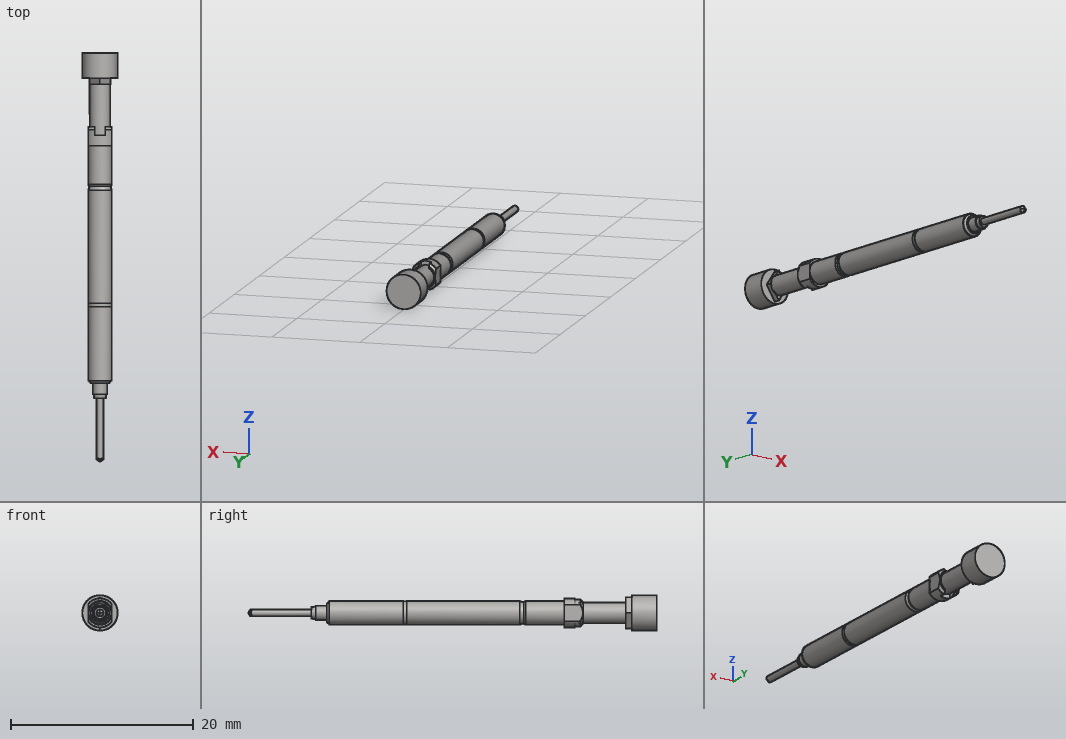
import cadquery as cq

overall_length = 44.8

head_radius = 1.95
head_end = 2.75

flange_half_height = 1.73
flange_half_width = 1.17
flange_end = 3.44

neck_radius = 1.15
neck_end = 8.1

barrel_radius = 1.31

collar_radius = 1.6
collar_chamfer = 0.3
collar_end = 10.17
collar_flat_half_width = barrel_radius
slot_width = 1.15
slot_end = 9.0

groove_start = 14.4
groove_bottom = 14.6
groove_end = 15.05
groove_radius = 1.2

band_start = 27.4
band_end = 27.8
band_radius = 1.29

barrel_end = 35.9
nose_end = 36.2
nose_start_radius = 1.24
nose_end_radius = 1.0

stem_radius = 0.8
stem_end = 37.4
stem_tip_start_radius = 0.71
stem_tip_end_radius = 0.65
stem_tip_end = 37.85

pin_radius = 0.39
tip_length = pin_radius
tip_sides = 4


def along_axis(station):
    """Y coordinate of a distance measured from the head end."""
    return overall_length / 2 - station


def cross_section(station):
    """Workplane across the axis, extruding towards the pin tip (-Y)."""
    return cq.Workplane("XZ", origin=(0, along_axis(station), 0))


def cylinder(start, end, radius):
    return cross_section(start).circle(radius).extrude(end - start)


def make_flange():
    outline = [
        (flange_half_width, 0),
        (0, flange_half_height),
        (-flange_half_width, 0),
        (0, -flange_half_height),
    ]
    return cross_section(head_end).polyline(outline).close().extrude(flange_end - head_end)


def make_collar():
    length = collar_end - neck_end
    collar = cylinder(neck_end, collar_end, collar_radius).faces(">Y").chamfer(collar_chamfer)
    flats = cross_section(neck_end).rect(2 * collar_flat_half_width, 2 * collar_radius).extrude(length)
    slots = cross_section(neck_end).rect(slot_width, 2 * collar_radius).extrude(slot_end - neck_end)
    return collar.intersect(flats).cut(slots)


def make_barrel_and_stem():
    """Everything turned from the collar to the root of the pin."""
    profile = (
        cq.Workplane("XY")
        .moveTo(0, along_axis(collar_end))
        .lineTo(barrel_radius, along_axis(collar_end))
        .lineTo(barrel_radius, along_axis(groove_start))
        .lineTo(groove_radius, along_axis(groove_bottom))
    )
    run_out_length = groove_end - groove_bottom
    groove_depth = barrel_radius - groove_radius
    run_out_radius = (run_out_length**2 + groove_depth**2) / (2 * groove_depth)
    profile = profile.radiusArc((barrel_radius, along_axis(groove_end)), -run_out_radius)

    remaining_corners = [
        (band_start, barrel_radius),
        (band_start, band_radius),
        (band_end, band_radius),
        (band_end, barrel_radius),
        (barrel_end, barrel_radius),
        (barrel_end, nose_start_radius),
        (nose_end, nose_end_radius),
        (nose_end, stem_radius),
        (stem_end, stem_radius),
        (stem_end, stem_tip_start_radius),
        (stem_tip_end, stem_tip_end_radius),
        (stem_tip_end, 0),
    ]
    for station, radius in remaining_corners:
        profile = profile.lineTo(radius, along_axis(station))
    return profile.close().revolve(360, (0, 0), (0, 1))


def make_pin():
    """Pin whose end is trimmed by four planes meeting at the point."""
    pin = cylinder(stem_tip_end, overall_length, pin_radius)
    waste_outline = [
        (0, along_axis(overall_length)),
        (2 * pin_radius, along_axis(overall_length - 2 * tip_length)),
        (2 * pin_radius, along_axis(overall_length)),
    ]
    waste = cq.Workplane("XY").polyline(waste_outline).close().extrude(2 * pin_radius, both=True)
    side_angle = 360 / tip_sides
    for side in range(tip_sides):
        angle = (side + 0.5) * side_angle
        pin = pin.cut(waste.rotate((0, 0, 0), (0, 1, 0), angle))
    return pin


result = (
    cylinder(0, head_end, head_radius)
    .union(make_flange())
    .union(cylinder(flange_end, collar_end, neck_radius))
    .union(make_collar())
    .union(make_barrel_and_stem())
    .union(make_pin())
)